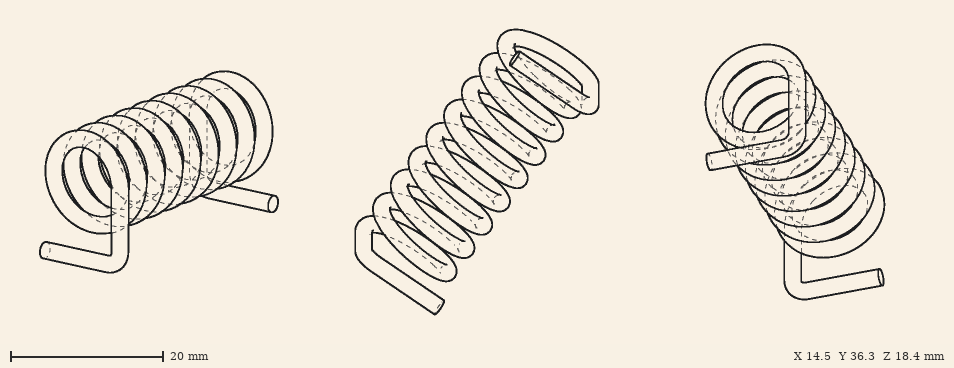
import cadquery as cq

coil_outer_diameter = 14.5
spring_length = 36.25
wire_diameter = 2.25
turns = 8.5
leg_drop = 10.0
bend_radius = 2.0

wire_radius = wire_diameter / 2
coil_radius = coil_outer_diameter / 2 - wire_radius
helix_length = spring_length - wire_diameter
pitch = helix_length / turns
end_y = helix_length / 2


def make_coil():
    """Left-hand coil along Y, starting at +X on the -Y end and ending at -X."""
    helix = cq.Wire.makeHelix(pitch, helix_length, coil_radius, lefthand=True)
    path = helix.rotate(cq.Vector(0, 0, 0), cq.Vector(1, 0, 0), -90)
    path = path.translate(cq.Vector(0, -end_y, 0))
    section = cq.Workplane("XY", origin=(coil_radius, -end_y, 0)).circle(wire_radius)
    return section.sweep(cq.Workplane(path), isFrenet=True)


def make_end(side, y):
    """Leg dropping from the coil at X = side * coil_radius, with a foot bent across to the other side."""
    leg_x = side * coil_radius
    bend_end_x = leg_x - side * bend_radius
    bend_start_z = -leg_drop + bend_radius
    path = (
        cq.Workplane("XZ", origin=(0, y, 0))
        .moveTo(leg_x, 0)
        .lineTo(leg_x, bend_start_z)
        .tangentArcPoint((bend_end_x, -leg_drop), relative=False)
        .lineTo(-leg_x, -leg_drop)
    )
    return cq.Workplane("XY", origin=(leg_x, y, 0)).circle(wire_radius).sweep(path)


front_end = make_end(1, -end_y)
back_end = make_end(-1, end_y)
result = make_coil().union(front_end).union(back_end)